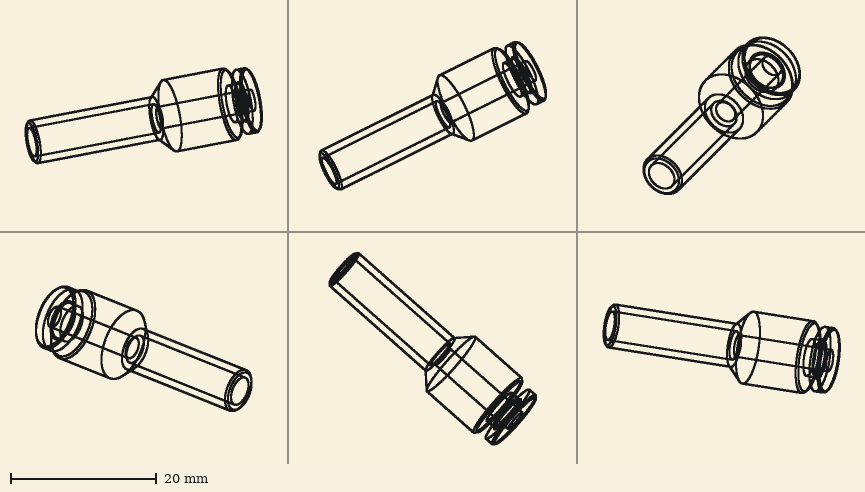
import cadquery as cq

total_length = 31.9

stem_diameter = 6.0
body_diameter = 10.02
neck_diameter = 5.17
collar_diameter = 9.0

stem_length = 18.02
shoulder_length = (body_diameter - stem_diameter) / 2
neck_gap = 1.53
collar_thickness = 1.4

edge_chamfer = 0.3
collar_chamfer = 0.22
neck_flare = 0.2

stem_bore_diameter = 4.0
body_bore_diameter = 3.0

stem_bore_radius = stem_bore_diameter / 2
body_bore_radius = body_bore_diameter / 2
bore_step_end = stem_length + stem_bore_radius - body_bore_radius
stem_radius = stem_diameter / 2
body_radius = body_diameter / 2
neck_radius = neck_diameter / 2
collar_radius = collar_diameter / 2
body_start = stem_length + shoulder_length
collar_start = total_length - collar_thickness
body_end = collar_start - neck_gap

half_section = (
    cq.Workplane("XY")
    .moveTo(stem_bore_radius, 0)
    .lineTo(stem_radius - edge_chamfer, 0)
    .lineTo(stem_radius, edge_chamfer)
    .lineTo(stem_radius, stem_length)
    .lineTo(body_radius, body_start)
    .lineTo(body_radius, body_end - edge_chamfer)
    .lineTo(body_radius - edge_chamfer, body_end)
    .lineTo(neck_radius, body_end)
    .lineTo(neck_radius, collar_start - neck_flare)
    .lineTo(neck_radius + neck_flare, collar_start)
    .lineTo(collar_radius, collar_start)
    .lineTo(collar_radius, total_length - collar_chamfer)
    .lineTo(collar_radius - collar_chamfer, total_length)
    .lineTo(body_bore_radius, total_length)
    .lineTo(body_bore_radius, bore_step_end)
    .lineTo(stem_bore_radius, stem_length)
    .close()
)

result = half_section.revolve(360, (0, 0, 0), (0, 1, 0))